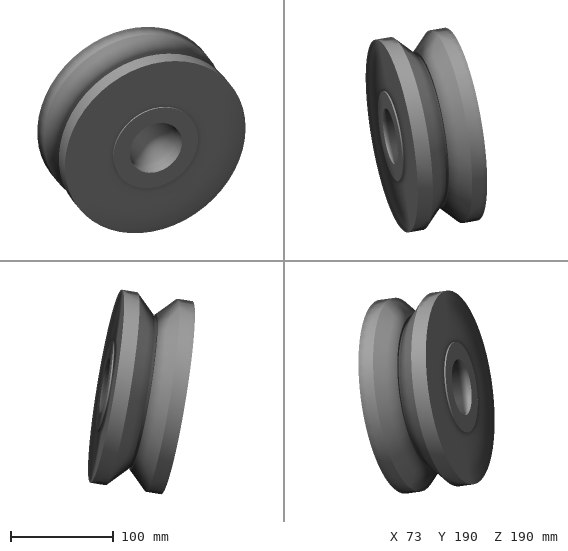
import cadquery as cq

wheel_diameter = 190.0
rim_width = 70.0
hub_diameter = 89.0
hub_width = 73.0
bore_diameter = 55.0

groove_width = 39.5
relief_width = 3.0
relief_diameter = 147.0

wheel_radius = wheel_diameter / 2
groove_half_width = groove_width / 2
relief_half_width = relief_width / 2
flank_depth = groove_half_width - relief_half_width
flank_bottom_radius = wheel_radius - flank_depth


def cylinder_along_x(diameter, length):
    """Cylinder on the X axis, centred on the origin."""
    return cq.Workplane("YZ").circle(diameter / 2).extrude(length / 2, both=True)


def groove_cutter():
    """Ring that removes the V groove and its relief."""
    profile = [
        (-groove_half_width, wheel_radius),
        (-relief_half_width, flank_bottom_radius),
        (-relief_half_width, relief_diameter / 2),
        (relief_half_width, relief_diameter / 2),
        (relief_half_width, flank_bottom_radius),
        (groove_half_width, wheel_radius),
    ]
    return cq.Workplane("XY").polyline(profile).close().revolve(360, (0, 0, 0), (1, 0, 0))


rim = cylinder_along_x(wheel_diameter, rim_width)
hub = cylinder_along_x(hub_diameter, hub_width)
bore = cylinder_along_x(bore_diameter, hub_width)

result = rim.union(hub).cut(groove_cutter()).cut(bore)